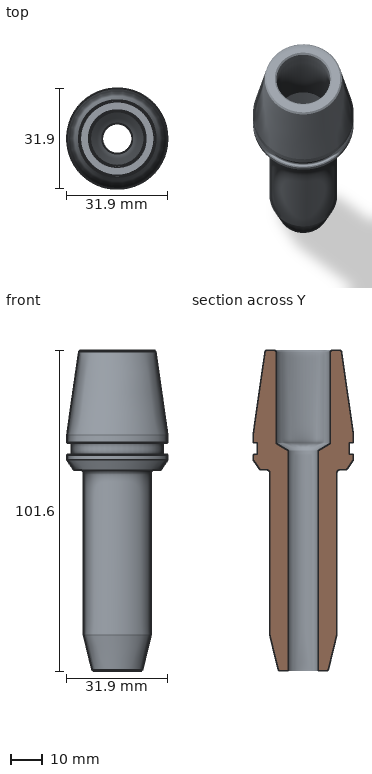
import cadquery as cq
import math

total_length = 101.6
collar_radius = 31.9 / 2

tip_chamfer = 0.5
tip_taper_top = 11.6
collar_bottom = 63.6
collar_taper_top = 66.9
groove_bottom = 68.7
groove_top = 72.1
head_taper_bottom = 74.9

tip_taper_radius = 16.1 / 2
shaft_radius = 21.4 / 2
collar_bottom_radius = 27.4 / 2
groove_radius = 29.3 / 2
head_top_radius = 24.4 / 2

head_chamfer = 0.5
groove_edge_chamfer = 0.3
neck_fillet = 0.8

bore_radius = 17.1 / 2
through_radius = 9.4 / 2
bore_depth = total_length - groove_top
bore_chamfer = 0.5
drill_point_angle = 118.0
bore_cone_height = (bore_radius - through_radius) / math.tan(math.radians(drill_point_angle / 2))


def make_body():
    """Revolve the outer profile: tapered tip, shaft, grooved collar and tapered head."""
    profile = (
        cq.Workplane("XZ")
        .lineTo(tip_taper_radius - tip_chamfer, 0)
        .lineTo(tip_taper_radius, tip_chamfer)
        .lineTo(shaft_radius, tip_taper_top)
        .lineTo(shaft_radius, collar_bottom - neck_fillet)
        .radiusArc((shaft_radius + neck_fillet, collar_bottom), neck_fillet)
        .lineTo(collar_bottom_radius, collar_bottom)
        .lineTo(collar_radius, collar_taper_top)
        .lineTo(collar_radius, groove_bottom - groove_edge_chamfer)
        .lineTo(collar_radius - groove_edge_chamfer, groove_bottom)
        .lineTo(groove_radius, groove_bottom)
        .lineTo(groove_radius, groove_top)
        .lineTo(collar_radius - groove_edge_chamfer, groove_top)
        .lineTo(collar_radius, groove_top + groove_edge_chamfer)
        .lineTo(collar_radius, head_taper_bottom)
        .lineTo(head_top_radius, total_length - head_chamfer)
        .lineTo(head_top_radius - head_chamfer, total_length)
        .lineTo(0, total_length)
        .close()
    )
    return profile.revolve(360, (0, 0), (0, 1))


def make_bore():
    """Revolve the hollow: through hole, conical step, wide bore and mouth chamfer."""
    bore_floor = total_length - bore_depth
    profile = (
        cq.Workplane("XZ")
        .lineTo(through_radius, 0)
        .lineTo(through_radius, bore_floor - bore_cone_height)
        .lineTo(bore_radius, bore_floor)
        .lineTo(bore_radius, total_length - bore_chamfer)
        .lineTo(bore_radius + bore_chamfer, total_length)
        .lineTo(0, total_length)
        .close()
    )
    return profile.revolve(360, (0, 0), (0, 1))


result = make_body().cut(make_bore())